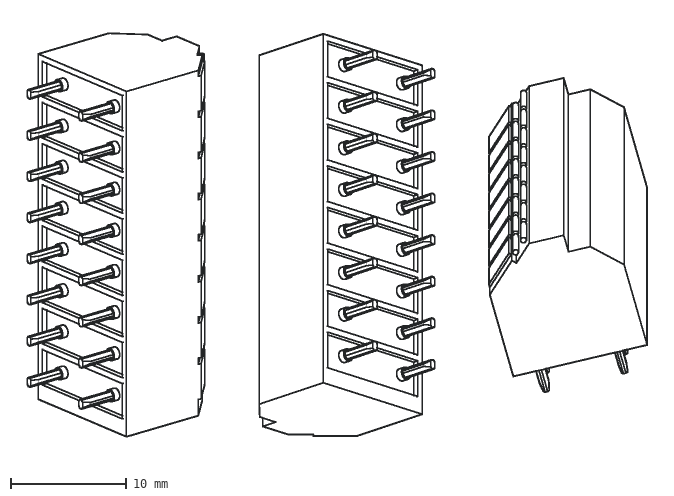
import cadquery as cq
import math

WIDTH = 12.0
DEPTH = 12.0
HEIGHT = 31.98

LEFT_BEVEL_START_Y = 7.95
LEDGE_Y = 10.35
LEDGE_START_X = 2.4
LEDGE_END_X = 4.35
UPPER_SLOPE_START_X = 7.45
UPPER_SLOPE_RUN = 1.55
STEP_RISE = 0.32

POLE_COUNT = 8
POLE_STACK = 26.67
POLE_PITCH = POLE_STACK / (POLE_COUNT - 1)
FIRST_PIN_DROP = 2.08

POCKET_WALL = 0.55
POCKET_HEIGHT = POLE_PITCH - POCKET_WALL
POCKET_DEPTH = 0.5

LEFT_PIN_X = 2.9
PIN_SPACING = 7.0
PIN_PROJECTION = 3.42
PIN_HALF_HEIGHT = 0.4
PIN_EDGE_HALF_FLAT = 0.112
LEFT_PIN_HALF_WIDTH = 0.35
RIGHT_PIN_HALF_WIDTH = 0.4
TIP_LENGTH = 0.75
TIP_HALF_WIDTH = 0.25
COLLAR_RADIUS = 0.55
COLLAR_PROJECTION = 0.1

PLATE_THICKNESS = 0.22
PLATE_SETBACK = 0.1
ROD_RADIUS = 0.25
ROD_LIFT = 0.208
ROD_RUNS = (0.4, 1.38)

step_low_x = UPPER_SLOPE_START_X + UPPER_SLOPE_RUN
step_low_y = DEPTH - UPPER_SLOPE_RUN
step_high_x = step_low_x + STEP_RISE
step_high_y = step_low_y + STEP_RISE


def lower_slope_y(x):
    """Y of the lower 45 degree slope at a given X."""
    return step_high_y - (x - step_high_x)


def make_housing():
    outline = [
        (0, 0),
        (WIDTH, 0),
        (WIDTH, lower_slope_y(WIDTH)),
        (step_high_x, step_high_y),
        (step_low_x, step_low_y),
        (UPPER_SLOPE_START_X, DEPTH),
        (LEDGE_END_X, DEPTH),
        (LEDGE_END_X, LEDGE_Y),
        (LEDGE_START_X, LEDGE_Y),
        (0, LEFT_BEVEL_START_Y),
    ]
    return cq.Workplane("XY").polyline(outline).close().extrude(HEIGHT)


def make_pocket(bottom_z):
    return cq.Workplane("XY").box(
        WIDTH - 2 * POCKET_WALL, POCKET_DEPTH, POCKET_HEIGHT, centered=False
    ).translate((POCKET_WALL, 0, bottom_z))


def make_pin(x, z, half_width):
    """Pin on its collar, rooted in the pocket floor and pointing to -Y."""
    collar = (
        cq.Workplane("XZ", origin=(x, POCKET_DEPTH, z))
        .circle(COLLAR_RADIUS)
        .extrude(POCKET_DEPTH + COLLAR_PROJECTION)
    )
    side_half_flat = PIN_HALF_HEIGHT + PIN_EDGE_HALF_FLAT - half_width
    quarter = [(half_width, side_half_flat), (PIN_EDGE_HALF_FLAT, PIN_HALF_HEIGHT)]
    upper = quarter + [(-px, pz) for px, pz in reversed(quarter)]
    lower = [(-px, -pz) for px, pz in upper]
    bar = (
        cq.Workplane("XZ", origin=(x, POCKET_DEPTH, z))
        .polyline(upper + lower)
        .close()
        .extrude(POCKET_DEPTH + PIN_PROJECTION)
    )
    taper_y = TIP_LENGTH - PIN_PROJECTION
    plan = [
        (x - half_width, POCKET_DEPTH),
        (x - half_width, taper_y),
        (x - TIP_HALF_WIDTH, -PIN_PROJECTION),
        (x + TIP_HALF_WIDTH, -PIN_PROJECTION),
        (x + half_width, taper_y),
        (x + half_width, POCKET_DEPTH),
    ]
    envelope = (
        cq.Workplane("XY", origin=(0, 0, z))
        .polyline(plan)
        .close()
        .extrude(PIN_HALF_HEIGHT, both=True)
    )
    return collar.union(bar.intersect(envelope))


def make_plate(bottom_z):
    """Thin plate lying on the lower slope and flush with the right side."""
    start_x = step_high_x + PLATE_SETBACK
    start_y = lower_slope_y(start_x)
    end_y = lower_slope_y(WIDTH)
    normal_shift = PLATE_THICKNESS / math.sqrt(2)
    outline = [
        (start_x, start_y),
        (start_x + normal_shift, start_y + normal_shift),
        (WIDTH, end_y + 2 * normal_shift),
        (WIDTH, end_y),
    ]
    return (
        cq.Workplane("XY", origin=(0, 0, bottom_z))
        .polyline(outline)
        .close()
        .extrude(POCKET_HEIGHT)
    )


def make_rod(run, bottom_z):
    """Round rod along Z, partly sunk into the upper slope."""
    normal_shift = ROD_LIFT / math.sqrt(2)
    rod_x = UPPER_SLOPE_START_X + run + normal_shift
    rod_y = DEPTH - run + normal_shift
    return (
        cq.Workplane("XY", origin=(rod_x, rod_y, bottom_z))
        .circle(ROD_RADIUS)
        .extrude(POCKET_HEIGHT)
    )


result = make_housing()
for pole in range(POLE_COUNT):
    pole_drop = pole * POLE_PITCH
    pin_z = HEIGHT - FIRST_PIN_DROP - pole_drop
    pole_bottom_z = HEIGHT - POCKET_WALL - POCKET_HEIGHT - pole_drop
    result = result.cut(make_pocket(pole_bottom_z))
    result = result.union(make_pin(LEFT_PIN_X, pin_z, LEFT_PIN_HALF_WIDTH))
    result = result.union(make_pin(LEFT_PIN_X + PIN_SPACING, pin_z, RIGHT_PIN_HALF_WIDTH))
    result = result.union(make_plate(pole_bottom_z))
    for rod_run in ROD_RUNS:
        result = result.union(make_rod(rod_run, pole_bottom_z))